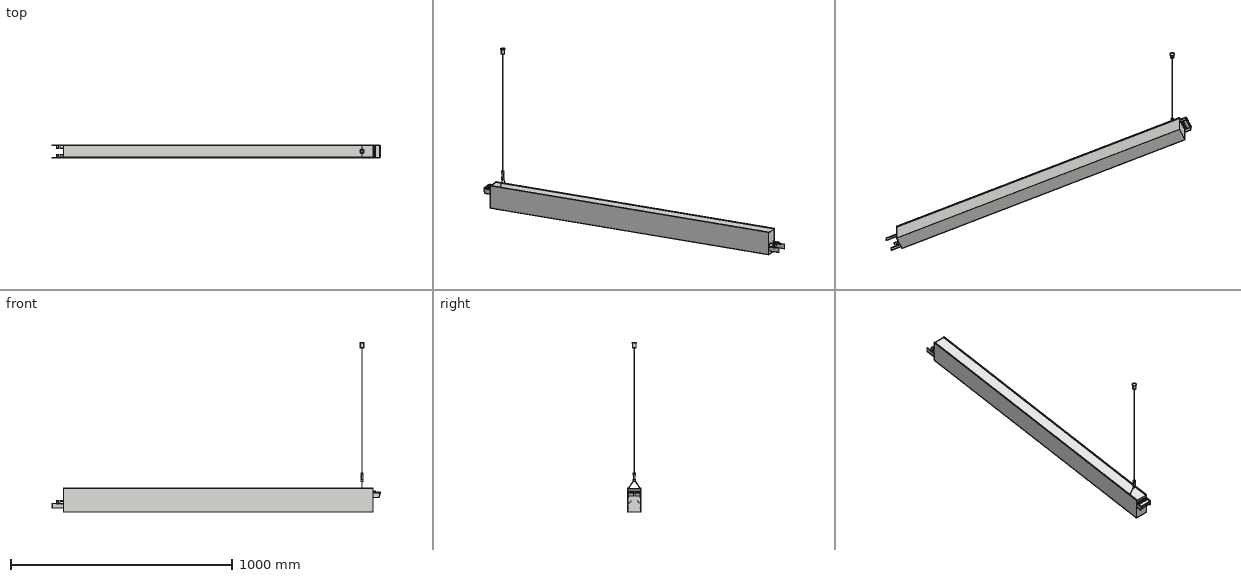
import cadquery as cq
import math

overall_length = 1484.6
overall_height = 766.34
body_length = 1400.0
body_width = 60.0
body_height = 108.0

rim_width = 4.0
channel_depth = 2.0

joint_inset = 1.0

tab_length = 51.5
tab_thickness = 2.0
tab_bottom = 18.0
tab_top = 40.0
lip_length = 31.5
lip_reach = 13.0
lip_drop = 3.0
lip_slot_start = 9.0
lip_slot_length = 6.5

bracket_length = overall_length - body_length - tab_length
bracket_bottom = 66.0
bracket_top = 91.0
bracket_thickness = 2.0
bracket_nose_cut = 6.0
bracket_corner_cut = 3.0
bracket_end_wall = 3.5
bracket_web_drop = 2.0
bracket_notch_width = 5.0
rib_count = 2
rib_width = 4.0
rib_pitch = 8.0
rib_height = 4.0

suspension_inset = 50.0
wire_diameter = 2.0
leg_diameter = 1.2
leg_inset = 3.0
gripper_diameter = 11.0
gripper_waist_diameter = 9.0
gripper_collar = 9.0
gripper_bottom = 138.0
gripper_length = 38.0
canopy_diameter = 16.0
canopy_height = 24.0
flange_diameter = 20.0
flange_thickness = 2.0

half_width = body_width / 2
joint_half = half_width - joint_inset
suspension_x = body_length - suspension_inset
flange_bottom = overall_height - flange_thickness
canopy_bottom = overall_height - canopy_height
gripper_top = gripper_bottom + gripper_length


def box(x0, x1, y0, y1, z0, z1):
    """Box between two opposite corners."""
    return cq.Workplane("XY").box(x1 - x0, y1 - y0, z1 - z0, centered=False).translate((x0, y0, z0))


def upright(diameter, z0, z1):
    """Vertical cylinder on the suspension axis."""
    return cq.Workplane("XY", origin=(suspension_x, 0, z0)).circle(diameter / 2).extrude(z1 - z0)


def make_body():
    """Long box with a shallow channel along its top, between two rims."""
    body = box(0, body_length, -half_width, half_width, 0, body_height)
    channel_half = half_width - rim_width
    floor = body_height - channel_depth
    return body.cut(box(0, body_length, -channel_half, channel_half, floor, body_height))


def make_tab():
    """Flat tab on the +Y side with a slotted lip leaning inward and up."""
    inner = joint_half - tab_thickness
    plate = box(-tab_length, 0, inner, joint_half, tab_bottom, tab_top)
    lip_edge = inner - lip_reach
    lip_root = tab_top - lip_drop
    lip_rise = tab_thickness * math.sqrt(2)
    lip = (
        cq.Workplane("YZ", origin=(-lip_length, 0, 0))
        .moveTo(joint_half, lip_root)
        .lineTo(lip_edge, lip_root + joint_half - lip_edge)
        .lineTo(lip_edge, lip_root + joint_half - lip_edge - lip_rise)
        .lineTo(joint_half, lip_root - lip_rise)
        .close()
        .extrude(lip_length)
    )
    slot_x = -lip_length + lip_slot_start
    slot = box(slot_x, slot_x + lip_slot_length, 0, inner, tab_bottom, body_height)
    return plate.union(lip.cut(slot))


def make_bracket():
    """Walled bracket with a sunken web, a split end wall and raised cross ribs."""
    end_x = body_length + bracket_length
    bracket = (
        cq.Workplane("XZ", origin=(0, joint_half, 0))
        .moveTo(body_length, bracket_bottom)
        .lineTo(end_x - bracket_nose_cut, bracket_bottom)
        .lineTo(end_x, bracket_top - bracket_nose_cut)
        .lineTo(end_x, bracket_top)
        .lineTo(body_length, bracket_top)
        .close()
        .extrude(2 * joint_half)
        .edges("|Z and >X")
        .chamfer(bracket_corner_cut)
    )
    inner = joint_half - bracket_thickness
    wall_x = end_x - bracket_end_wall
    web_top = bracket_top - bracket_web_drop
    web_bottom = web_top - bracket_thickness
    bracket = bracket.cut(box(body_length, wall_x, -inner, inner, bracket_bottom, web_bottom))
    bracket = bracket.cut(box(body_length, wall_x, -inner, inner, web_top, bracket_top))

    notch_half = bracket_notch_width / 2
    bracket = bracket.cut(box(wall_x, end_x, -notch_half, notch_half, bracket_bottom, bracket_top))

    for i in range(rib_count):
        rib_x = body_length + i * rib_pitch
        rib_top = bracket_top + rib_height
        bracket = bracket.union(box(rib_x, rib_x + rib_width, -inner, inner, web_bottom, rib_top))
    return bracket


def make_leg():
    """Thin cable from the gripper down to the +Y rim of the body."""
    foot = cq.Vector(suspension_x, half_width - leg_inset, body_height - channel_depth)
    head = cq.Vector(suspension_x, gripper_diameter / 2 - leg_diameter / 2, gripper_bottom + leg_diameter)
    span = head - foot
    return cq.Workplane(obj=cq.Solid.makeCylinder(leg_diameter / 2, span.Length, foot, span))


def make_gripper():
    """Cable gripper with a wider collar at each end."""
    return (
        upright(gripper_waist_diameter, gripper_bottom, gripper_top)
        .union(upright(gripper_diameter, gripper_bottom, gripper_bottom + gripper_collar))
        .union(upright(gripper_diameter, gripper_top - gripper_collar, gripper_top))
    )


def make_suspension():
    """Ceiling canopy, wire, gripper and the two cables down to the body."""
    leg = make_leg()
    return (
        upright(wire_diameter, gripper_bottom, flange_bottom)
        .union(make_gripper())
        .union(upright(canopy_diameter, canopy_bottom, overall_height))
        .union(upright(flange_diameter, flange_bottom, overall_height))
        .union(leg)
        .union(leg.mirror("XZ"))
    )


tab = make_tab()
result = (
    make_body()
    .union(tab)
    .union(tab.mirror("XZ"))
    .union(make_bracket())
    .union(make_suspension())
)